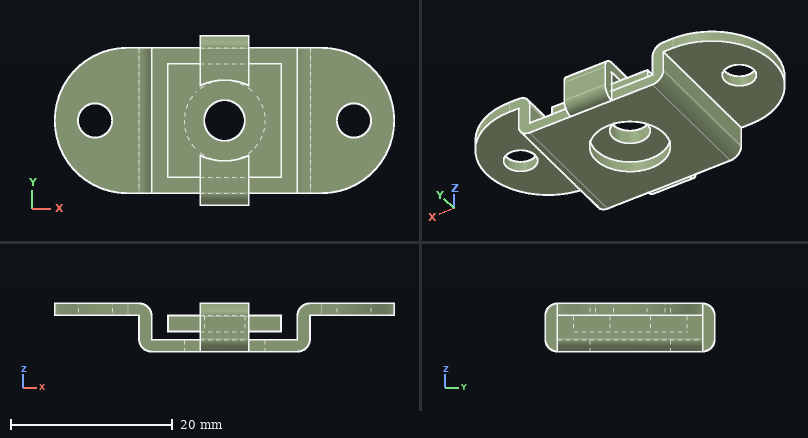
import cadquery as cq

length = 42.0
width = 18.0
height = 6.0
sheet = 1.5
bend_radius = 1.6
channel_length = 21.15
wall = 1.6
end_hole_diameter = 4.2
end_hole_spacing = 32.0
floor_hole_diameter = 10.0

tab_width = 6.0
span_over_tabs = 21.0
tab_tip_distance = 5.0
tab_tip_sagitta = 0.67

nut_side = 14.0
nut_thickness = 2.0
bore_diameter = 5.0

shelf_bottom = height - sheet


def edges_within(x, z):
    """Selector for the edges along Y at height z, no farther than x from the middle."""
    margin = 0.05
    return cq.selectors.BoxSelector(
        (-x - margin, -width, z - margin),
        (x + margin, width, z + margin),
    )


def make_strip():
    """Hat-shaped strip with rounded ends, standing on Z = 0."""
    outer_x = channel_length / 2
    inner_x = outer_x - wall
    left_half = [
        (-inner_x, sheet),
        (-inner_x, height),
        (-length / 2, height),
        (-length / 2, shelf_bottom),
        (-outer_x, shelf_bottom),
        (-outer_x, 0),
    ]
    right_half = [(-x, z) for x, z in reversed(left_half)]
    strip = cq.Workplane("XZ").polyline(left_half + right_half).close().extrude(width / 2, both=True)
    strip = strip.edges("|Y").edges(edges_within(outer_x, 0)).fillet(bend_radius)
    strip = strip.edges("|Y").edges(edges_within(inner_x, height)).fillet(bend_radius)
    outline = cq.Workplane("XY").slot2D(length, width).extrude(height)
    return strip.intersect(outline)


def make_tab():
    """C-shaped tab at the -Y edge, reaching up and over the nut."""
    outer_y = -span_over_tabs / 2
    wall_y = -width / 2
    foot_y = wall_y + sheet
    corner_y = tab_tip_sagitta - tab_tip_distance
    profile = [
        (outer_y, 0),
        (foot_y, 0),
        (foot_y, sheet),
        (wall_y, sheet),
        (wall_y, shelf_bottom),
        (corner_y, shelf_bottom),
        (corner_y, height),
        (outer_y, height),
    ]
    tab = cq.Workplane("YZ").polyline(profile).close().extrude(tab_width / 2, both=True)
    tab = tab.edges("|X and <Y").fillet(bend_radius)
    tip_hollow = (
        cq.Workplane("XY", origin=(0, 0, shelf_bottom))
        .moveTo(-tab_width / 2, corner_y)
        .threePointArc((0, -tab_tip_distance), (tab_width / 2, corner_y))
        .close()
        .extrude(sheet)
    )
    return tab.cut(tip_hollow)


def make_bracket():
    bracket = make_strip()
    for angle in (0, 180):
        bracket = bracket.union(make_tab().rotate((0, 0, 0), (0, 0, 1), angle))
    end_holes = (
        cq.Workplane("XY")
        .rarray(end_hole_spacing, 0.4, 2, 1)
        .circle(end_hole_diameter / 2)
        .extrude(height)
    )
    floor_hole = cq.Workplane("XY").circle(floor_hole_diameter / 2).extrude(sheet)
    return bracket.cut(end_holes).cut(floor_hole)


def make_nut():
    return (
        cq.Workplane("XY", origin=(0, 0, shelf_bottom - nut_thickness))
        .rect(nut_side, nut_side)
        .circle(bore_diameter / 2)
        .extrude(nut_thickness)
    )


bracket = make_bracket()
nut = make_nut()

result = cq.Compound.makeCompound([bracket.val(), nut.val()])